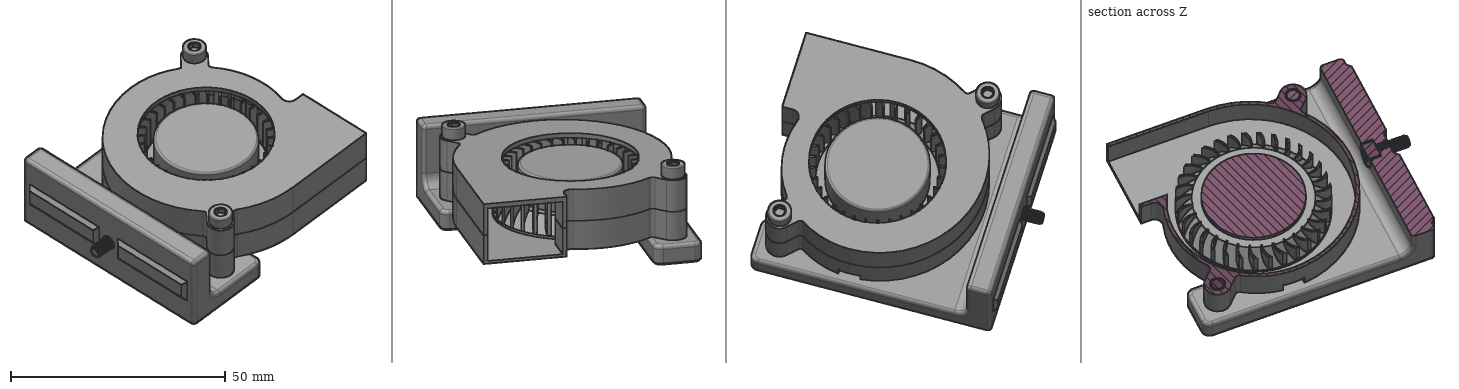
import cadquery as cq
import math


bracket_width = 54.1
bracket_depth = 58.7
bracket_height = 19.95
base_thickness = 5.0
wall_thickness = 6.0
inner_corner_radius = 3.0
tab_corner_radius = 2.0
edge_radius = 1.0
bottom_chamfer = 0.5
left_tab_width = 11.7
right_tab_depth = 23.95

pad_length = 22.0
pad_height = 6.0
pad_depth = 1.0
pad_spacing = 27.9
pad_z = 10.0
bevel_angle = 45

thread_diameter = 3.0
thread_root_diameter = 2.35
thread_pitch = 0.5
clearance_diameter = 3.5
counterbore_diameter = 6.0
head_diameter = 5.5
head_height = 3.05
head_edge_radius = 0.25
socket_flats = 2.5
socket_mouth_diameter = 3.0
socket_depth = 1.5
wall_screw_length = 7.95
wall_screw_reach = 4.8
head_seat_y = wall_screw_length - wall_screw_reach

housing_bottom = base_thickness
housing_top = bracket_height
housing_height = housing_top - housing_bottom
split_z = 12.15
floor_thickness = 0.7
cover_thickness = 1.2
side_thickness = 1.0
scroll_left = -24.85
scroll_y = 35.0
scroll_radius = 25.6
tongue_radius = 21.9
scroll_right = scroll_left + 2 * scroll_radius
outlet_left = 6.25
outlet_end = bracket_depth + 1.7
outlet_fillet = 2.0
ear_diameter = 6.4
ear_positions = [(-21.25, 52.95), (21.8, 14.95)]
neck_length = 7.8
neck_fillet = 1.0
inlet_diameter = 32.0
notch_width = 5.35
notch_height = 1.9
notch_depth = 1.55

impeller_x = -1.2
impeller_bottom = housing_bottom + 1.2
hub_diameter = 24.5
hub_edge_radius = 0.5
hub_top = 18.65
disc_top = 10.7
disc_diameter = 28.8
rim_diameter = 36.5
blade_count = 33
blade_top = 18.45
blade_root_thickness = 0.3
blade_tip_thickness = 0.9
blade_sweep = 6.0
first_blade_angle = 88.0


def near(x, y, z):
    return cq.selectors.NearestToPointSelector((x, y, z))



def make_pads():
    """The two pads on the wall, each tapering away from it."""
    pads = cq.Workplane("XZ", origin=(0, 0, pad_z)).rarray(pad_spacing, 0.65, 2, 1)
    return pads.rect(pad_length, pad_height).extrude(pad_depth, taper=bevel_angle)


def make_wall_screw_hole():
    """Clearance hole through the wall, counterbored from the blower side."""
    hole = cq.Workplane("XZ", origin=(0, 0, pad_z)).circle(clearance_diameter / 2).extrude(-wall_thickness)
    seat = cq.Workplane("XZ", origin=(0, head_seat_y, pad_z))
    return hole.union(seat.circle(counterbore_diameter / 2).extrude(-wall_thickness))


def make_bracket():
    half_width = bracket_width / 2
    tab_edge = left_tab_width - half_width
    profile = [
        (0, 0),
        (bracket_depth, 0),
        (bracket_depth, base_thickness),
        (wall_thickness, base_thickness),
        (wall_thickness, bracket_height),
        (0, bracket_height),
    ]
    body = cq.Workplane("YZ").polyline(profile).close().extrude(half_width, both=True)

    cutaway = cq.Workplane("XY").moveTo(tab_edge, right_tab_depth).lineTo(half_width, right_tab_depth)
    cutaway = cutaway.lineTo(half_width, bracket_depth).lineTo(tab_edge, bracket_depth).close()
    body = body.cut(cutaway.extrude(base_thickness))

    tab_corners = [(-half_width, bracket_depth), (tab_edge, bracket_depth), (half_width, right_tab_depth)]
    for x, y in tab_corners:
        body = body.edges(near(x, y, base_thickness / 2)).fillet(tab_corner_radius)
    body = body.edges(near(0, wall_thickness, base_thickness)).fillet(inner_corner_radius)

    margin = 0.05
    above_underside = cq.selectors.BoxSelector(
        (-bracket_width, -margin, base_thickness - margin),
        (bracket_width, bracket_depth + margin, bracket_height + margin),
    )
    fillet_end_y = wall_thickness + inner_corner_radius
    fillet_end_z = base_thickness + inner_corner_radius
    fillet_seams = cq.selectors.BoxSelector(
        (-margin, wall_thickness - margin, base_thickness - margin),
        (margin, fillet_end_y + margin, fillet_end_z + margin),
    )
    body = body.edges(above_underside - fillet_seams).fillet(edge_radius)
    body = body.faces("<Z").chamfer(bottom_chamfer)

    clamp_holes = cq.Workplane("XY").pushPoints(ear_positions).circle(thread_diameter / 2)
    body = body.union(make_pads())
    return body.cut(make_wall_screw_hole()).cut(clamp_holes.extrude(base_thickness))



def make_socket():
    """Hexagonal socket with a conical mouth, at the top of a head that starts at Z = 0."""
    across_corners = socket_flats / math.cos(math.pi / 6)
    hexagon = cq.Workplane("XY", origin=(0, 0, head_height)).polygon(6, across_corners)
    socket = hexagon.extrude(-socket_depth).rotate((0, 0, 0), (0, 0, 1), 30)
    mouth_radius = socket_mouth_diameter / 2
    mouth_tip = cq.Vector(0, 0, head_height - mouth_radius)
    return socket.union(cq.Workplane(cq.Solid.makeCone(0, mouth_radius, mouth_radius, pnt=mouth_tip)))


def make_screw(length, threaded):
    """A screw along Z with its head resting on Z = 0 and its shank below."""
    crest = thread_diameter / 2
    root = thread_root_diameter / 2
    outline = [(0, 0), (crest, 0)]
    if threaded:
        groove_count = round(length / thread_pitch)
        step = length / groove_count
        for i in range(1, groove_count):
            outline.append((root, (0.5 - i) * step))
            outline.append((crest, -i * step))
        outline.append((root, (0.5 - groove_count) * step))
        outline.append((root, -length))
    else:
        outline.append((crest, -length))
    outline.append((0, -length))
    shank = cq.Workplane("XZ").polyline(outline).close().revolve(360, (0, 0), (0, 1))
    head = cq.Workplane("XY").circle(head_diameter / 2).extrude(head_height)
    head = head.edges().fillet(head_edge_radius)
    return head.cut(make_socket()).union(shank)



def make_scroll(inset, bottom, top):
    """Block with the spiral outline and its outlet, with the curved and straight sides set inwards."""
    left = scroll_left + inset
    right = scroll_right - inset
    large_radius = scroll_radius - inset
    small_radius = tongue_radius - inset
    outlet_side = outlet_left + inset
    body = (
        cq.Workplane("XY", origin=(0, 0, bottom))
        .moveTo(left, scroll_y)
        .threePointArc((left + large_radius, scroll_y - large_radius), (right, scroll_y))
        .lineTo(right, outlet_end)
        .lineTo(outlet_side, outlet_end)
        .lineTo(outlet_side, scroll_y)
        .close()
        .extrude(top - bottom)
    )
    tongue = cq.Workplane("XY", origin=(left + small_radius, scroll_y, bottom)).circle(small_radius)
    return body.union(tongue.extrude(top - bottom))


def make_ear(x, y):
    """Round screw ear on a straight neck that runs diagonally into the scroll."""
    neck_angle = -45 if x < 0 else 135
    boss = cq.Workplane("XY").circle(ear_diameter / 2).extrude(housing_height)
    neck = cq.Workplane("XY").box(neck_length, ear_diameter, housing_height, centered=(False, True, False))
    ear = boss.union(neck).rotate((0, 0, 0), (0, 0, 1), neck_angle)
    return ear.translate((x, y, housing_bottom))


def make_housing():
    """The whole housing before it is split into shell and cover."""
    body = make_scroll(0, housing_bottom, housing_top)
    for x, y in ear_positions:
        body = body.union(make_ear(x, y))

    middle_z = (housing_bottom + housing_top) / 2
    neck_corners = [(-15.65, 52.5), (-20.55, 47.3), (21.5, 20.2), (16.0, 14.7)]
    for x, y in neck_corners:
        body = body.edges("|Z").edges(near(x, y, middle_z)).fillet(neck_fillet)
    tongue_top = scroll_y + tongue_radius
    body = body.edges("|Z").edges(near(outlet_left, tongue_top, middle_z)).fillet(outlet_fillet)

    cavity = make_scroll(side_thickness, housing_bottom + floor_thickness, housing_top - cover_thickness)
    inlet = cq.Workplane("XY", origin=(impeller_x, scroll_y, split_z)).circle(inlet_diameter / 2)
    notch = cq.Workplane("XY", origin=(scroll_left, scroll_y, housing_bottom)).box(
        notch_depth, notch_width, notch_height, centered=(False, True, False)
    )
    ear_holes = cq.Workplane("XY").pushPoints(ear_positions).circle(clearance_diameter / 2)
    body = body.cut(cavity).cut(inlet.extrude(housing_height)).cut(notch)
    return body.cut(ear_holes.extrude(housing_top))



def polar(radius, degrees):
    angle = math.radians(degrees)
    return radius * math.cos(angle), radius * math.sin(angle)


def make_blade(angle):
    """One forward-curved blade that thickens outwards and starts radially at its inner edge."""
    root_radius = disc_diameter / 2
    tip_radius = rim_diameter / 2
    middle_radius = (root_radius + tip_radius) / 2
    middle_thickness = (blade_root_thickness + blade_tip_thickness) / 2
    root_angle = math.degrees(blade_root_thickness / root_radius)
    middle_angle = math.degrees(middle_thickness / middle_radius)
    tip_angle = math.degrees(blade_tip_thickness / tip_radius)
    middle_lead = angle + blade_sweep / 4
    tip_lead = angle + blade_sweep
    trailing_middle = polar(middle_radius, middle_lead - middle_angle)
    trailing_root = polar(root_radius, angle - root_angle)
    return (
        cq.Workplane("XY", origin=(0, 0, impeller_bottom))
        .moveTo(*polar(root_radius, angle))
        .threePointArc(polar(middle_radius, middle_lead), polar(tip_radius, tip_lead))
        .lineTo(*polar(tip_radius, tip_lead - tip_angle))
        .threePointArc(trailing_middle, trailing_root)
        .close()
        .extrude(blade_top - impeller_bottom)
    )


def make_impeller():
    """Hub and disc with a 45-degree conical rim that carries the ring of blades."""
    disc_radius = disc_diameter / 2
    rim_radius = rim_diameter / 2
    rim_top = disc_top - (rim_radius - disc_radius)
    outline = [
        (0, impeller_bottom),
        (rim_radius, impeller_bottom),
        (rim_radius, rim_top),
        (disc_radius, disc_top),
        (hub_diameter / 2, disc_top),
        (hub_diameter / 2, hub_top),
        (0, hub_top),
    ]
    body = cq.Workplane("XZ").polyline(outline).close().revolve(360, (0, 0), (0, 1))
    body = body.faces(">Z").edges().fillet(hub_edge_radius)
    for i in range(blade_count):
        body = body.union(make_blade(first_blade_angle + i * 360 / blade_count))
    return body.translate((impeller_x, scroll_y, 0))



bracket = make_bracket()

housing = make_housing()
below_split = cq.Workplane("XY").rect(2 * bracket_width, 4 * bracket_depth).extrude(split_z)
lower_shell = housing.intersect(below_split)
cover = housing.cut(below_split)

impeller = make_impeller()

wall_screw = make_screw(wall_screw_length, threaded=True).rotate((0, 0, 0), (1, 0, 0), -90)
wall_screw = wall_screw.translate((0, head_seat_y, pad_z))

clamp_screws = []
for x, y in ear_positions:
    clamp_screws.append(make_screw(housing_top, threaded=False).translate((x, y, housing_top)).val())

result = cq.Compound.makeCompound(
    [bracket.val(), lower_shell.val(), cover.val(), impeller.val(), wall_screw.val(), *clamp_screws]
)